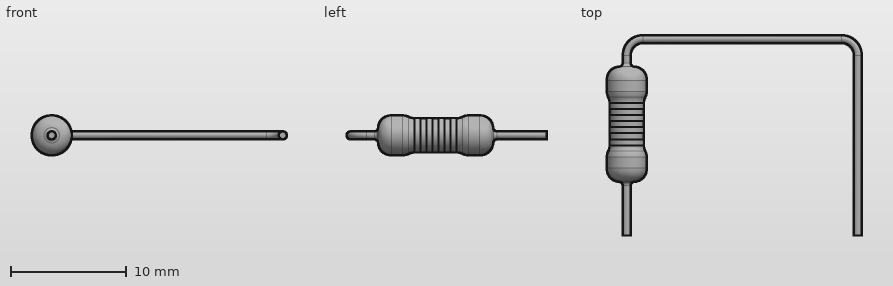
import cadquery as cq
import math

overall_length = 22.1
overall_depth = 17.35

wire_diameter = 0.7
wire_radius = wire_diameter / 2
bend_radius = 1.4

cap_radius = 3.5 / 2
core_radius = 2.98 / 2
band_radius = 3.0 / 2
body_length = 10.0
body_start = 4.65
dome_length = 1.2
cap_straight = 0.95
core_length = 3.65
segment_count = 7
cap_overlap = 0.22
shoulder_radius = 0.66
shoulder_length = 0.3

body_center = body_start + body_length / 2
segment_length = core_length / segment_count
dome_end = body_length / 2 - dome_length
cap_inner = dome_end - cap_straight
core_end = core_length / 2
body_x = cap_radius - overall_length / 2
far_x = overall_length / 2 - wire_radius
top_y = overall_depth - wire_radius
diagonal = math.sqrt(0.5)


def make_core():
    """Cap-to-cap solid of revolution, without the colour bands."""
    flare_middle = ((cap_radius + core_radius) / 2, (cap_inner + core_end) / 2)
    end = body_length / 2
    shoulder_end = end + shoulder_length
    shoulder_width = shoulder_radius - wire_radius
    dome_width = cap_radius - shoulder_radius

    dome_middle = (shoulder_radius + dome_width * diagonal, dome_end + dome_length * diagonal)
    shoulder_middle = (
        shoulder_radius - shoulder_width * diagonal,
        shoulder_end - shoulder_length * diagonal,
    )
    cap = (
        cq.Workplane("XY")
        .moveTo(0, core_end - cap_overlap)
        .lineTo(core_radius, core_end - cap_overlap)
        .lineTo(core_radius, core_end)
        .tangentArcPoint(flare_middle, relative=False)
        .tangentArcPoint((cap_radius, cap_inner), relative=False)
        .lineTo(cap_radius, dome_end)
        .threePointArc(dome_middle, (shoulder_radius, end))
        .threePointArc(shoulder_middle, (wire_radius, shoulder_end))
        .lineTo(0, shoulder_end)
        .close()
        .revolve(360, (0, 0, 0), (0, 1, 0))
    )
    core = cq.Workplane("XZ").circle(core_radius).extrude(core_end, both=True)
    return core.union(cap).union(cap.mirror("XZ"))


def make_band(index):
    """Raised colour band filling one segment of the core."""
    start = -core_end + index * segment_length
    return cq.Workplane("XZ", origin=(0, start, 0)).circle(band_radius).extrude(-segment_length)


def make_body():
    body = make_core()
    for index in range(0, segment_count, 2):
        body = body.union(make_band(index))
    return body.translate((body_x, body_center, 0))


def make_lead():
    """Wire through the body, over the top and back down on the far side."""
    bend_inset = bend_radius * (1 - diagonal)
    path = (
        cq.Workplane("XY")
        .moveTo(body_x, 0)
        .lineTo(body_x, top_y - bend_radius)
        .threePointArc((body_x + bend_inset, top_y - bend_inset), (body_x + bend_radius, top_y))
        .lineTo(far_x - bend_radius, top_y)
        .threePointArc((far_x - bend_inset, top_y - bend_inset), (far_x, top_y - bend_radius))
        .lineTo(far_x, 0)
    )
    return cq.Workplane("XZ", origin=(body_x, 0, 0)).circle(wire_radius).sweep(path)


result = make_body().union(make_lead())